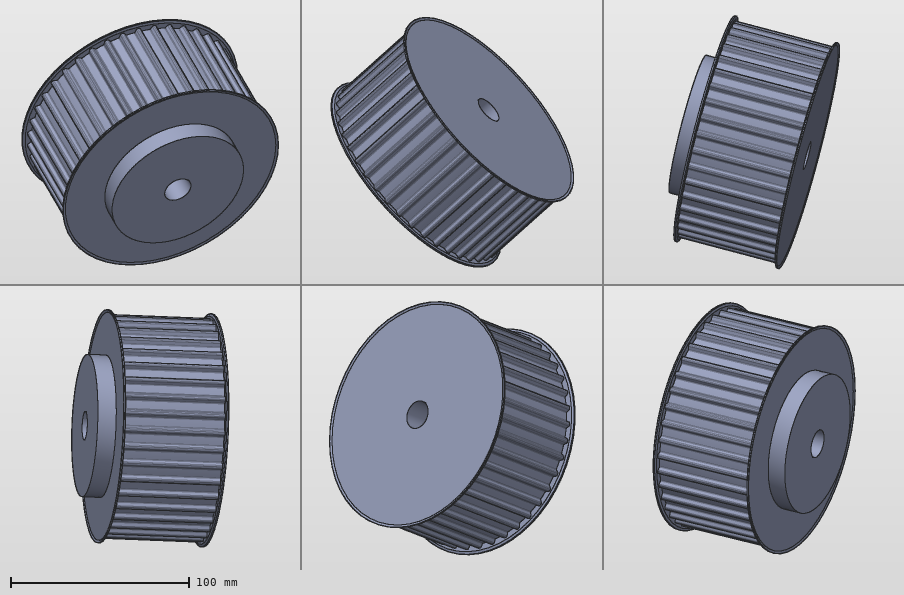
import cadquery as cq
import math


flange_diameter = 131.0
flanged_width = 60.0
hub_diameter = 80.0
hub_length = 10.0
bore_diameter = 16.0

sheet_thickness = 0.9
rim_offset = 0.5
flat_diameter = 128.1

tooth_count = 40
tip_diameter = 125.6
tooth_depth = 2.5
tip_width = 2.0
flank_angle = 25.0
tip_fillet = 0.8
root_fillet = 0.4

flange_radius = flange_diameter / 2
flat_radius = flat_diameter / 2
tip_radius = tip_diameter / 2
root_radius = tip_radius - tooth_depth
total_length = flanged_width + hub_length
flange_inner_face = rim_offset + sheet_thickness
tooth_pitch_angle = 2 * math.pi / tooth_count
tip_half_angle = math.asin(tip_width / 2 / tip_radius)
root_half_width = tip_width / 2 + tooth_depth * math.tan(math.radians(flank_angle))
root_half_angle = math.asin(root_half_width / root_radius)


def polar(radius, angle):
    """Point in the YZ plane, with the angle measured from +Y."""
    return (radius * math.cos(angle), radius * math.sin(angle))


def edge_radius(edge):
    """Distance of an edge's middle from the pulley axis."""
    center = edge.Center()
    return math.hypot(center.y, center.z)


def make_toothed_body():
    """Toothed body between the flanges; a groove is centred on each of the Y and Z axes."""
    outline = cq.Workplane("YZ", origin=(flange_inner_face, 0, 0))
    outline = outline.moveTo(*polar(root_radius, tooth_pitch_angle / 2 - root_half_angle))
    for tooth in range(tooth_count):
        middle = (tooth + 0.5) * tooth_pitch_angle
        groove_middle = middle + tooth_pitch_angle / 2
        next_root = middle + tooth_pitch_angle - root_half_angle
        outline = (
            outline.lineTo(*polar(tip_radius, middle - tip_half_angle))
            .lineTo(*polar(tip_radius, middle + tip_half_angle))
            .lineTo(*polar(root_radius, middle + root_half_angle))
            .threePointArc(polar(root_radius, groove_middle), polar(root_radius, next_root))
        )
    body = outline.close().extrude(flanged_width - 2 * flange_inner_face)

    mid_radius = (tip_radius + root_radius) / 2
    body = body.edges("|X").filter(lambda edge: edge_radius(edge) > mid_radius).fillet(tip_fillet)
    return body.edges("|X").filter(lambda edge: edge_radius(edge) < mid_radius).fillet(root_fillet)


def make_flange():
    """Flange at the -X end, dished so that its rim stands out toward -X."""
    return (
        cq.Workplane("XY")
        .moveTo(rim_offset, 0)
        .lineTo(rim_offset, flat_radius)
        .lineTo(0, flange_radius)
        .lineTo(sheet_thickness, flange_radius)
        .lineTo(flange_inner_face, flat_radius)
        .lineTo(flange_inner_face, 0)
        .close()
        .revolve(360, (0, 0, 0), (1, 0, 0))
    )


def make_hub():
    """Plain hub reaching from the +X flange to the end of the pulley."""
    hub_start = flanged_width - rim_offset
    hub = cq.Workplane("YZ", origin=(hub_start, 0, 0))
    return hub.circle(hub_diameter / 2).extrude(total_length - hub_start)


near_flange = make_flange()
far_flange = near_flange.mirror("YZ", (flanged_width / 2, 0, 0))
bore = cq.Workplane("YZ").circle(bore_diameter / 2).extrude(total_length)

result = make_toothed_body().union(near_flange).union(far_flange).union(make_hub()).cut(bore)